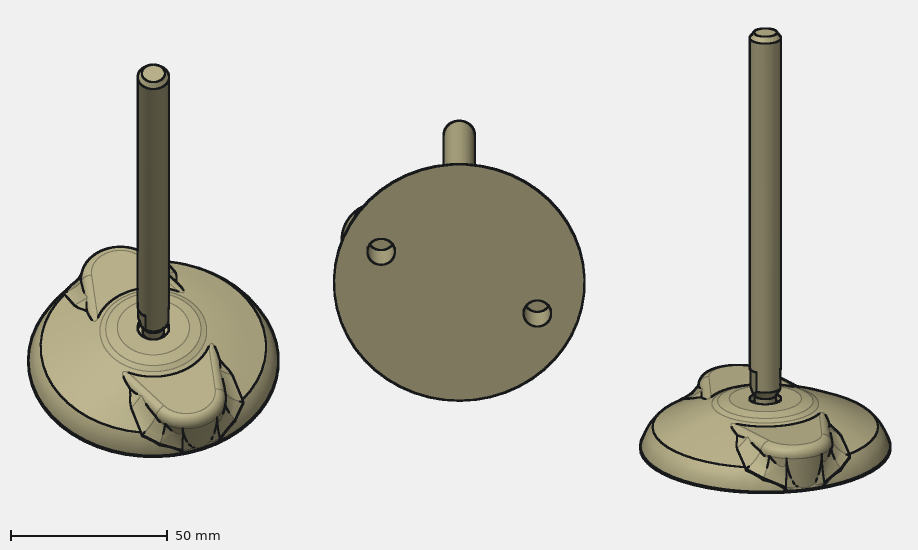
import cadquery as cq
import math

total_height = 142.2
base_radius = 40.03

lip_height = 0.4
lip_step = 0.21
shoulder_radius = 72.0 / 2
shoulder_height = 7.1
rim_mid_radius = 38.5
rim_mid_height = 3.7
dome_mid_radius = 26.5
dome_mid_height = 11.5

collar_radius = 17.0
collar_base_height = 15.1
collar_edge_radius = 15.2
collar_edge_height = 15.9
collar_top_radius = 11.5
collar_top_height = 16.8

lug_height = 14.5
lug_center_x = 27.0
lug_end_radius = 12.7
lug_flare_angle = 16.5
lug_edge_round = 3.4

flank_blend_reach = 18.3
flank_blend_foot_height = 6.8
flank_blend_sag = 1.0
inner_blend_setback = 8.5
inner_blend_reach = 15.8
inner_blend_foot_height = 10.5
inner_blend_sag = 0.1
corner_blend_angle = 55.0
corner_blend_reach = 15.9
corner_blend_foot_height = 4.5
corner_blend_sag = 0.4
nose_blend_angle = 28.0
nose_blend_reach = 13.8
nose_blend_foot_height = 1.7
nose_blend_sag = 0.3
flank_round_sweep = 45.0
wall_round_sweep = 90.0
blend_collar_point = (11.7, 14.8, 14.2)
blend_tip_scale = 0.02
blend_root_height = 0.9

mount_hole_radius = 4.4
mount_skin = 0.5

rod_radius = 10.1 / 2
neck_radius = 6.8 / 2
neck_depth = 8.5
clearance_bore_radius = rod_radius
clearance_bore_depth = 2.1
cone_bottom_height = 17.9
cone_top_height = 20.8
tip_radius = 3.7
tip_chamfer_height = 1.8
flat_top_height = 27.3
flat_width = 8.1


def make_dome():
    """Revolved foot: lip, rounded rim, dome and stepped collar."""
    return (
        cq.Workplane("XZ")
        .lineTo(base_radius, 0)
        .lineTo(base_radius, lip_height)
        .lineTo(base_radius - lip_step, lip_height)
        .threePointArc((rim_mid_radius, rim_mid_height), (shoulder_radius, shoulder_height))
        .threePointArc((dome_mid_radius, dome_mid_height), (collar_radius, collar_base_height))
        .lineTo(collar_edge_radius, collar_edge_height)
        .lineTo(collar_top_radius, collar_top_height)
        .lineTo(0, collar_top_height)
        .close()
        .revolve(360, (0, 0, 0), (0, 1, 0))
    )


def make_lugs():
    """Two round-ended lugs, widening inward until they meet at the middle."""
    flare = math.radians(lug_flare_angle)
    tangent_x = lug_center_x + lug_end_radius * math.sin(flare)
    tangent_y = lug_end_radius * math.cos(flare)
    middle_y = tangent_y + tangent_x * math.tan(flare)
    end_x = lug_center_x + lug_end_radius
    return (
        cq.Workplane("XY")
        .moveTo(0, -middle_y)
        .lineTo(tangent_x, -tangent_y)
        .threePointArc((end_x, 0), (tangent_x, tangent_y))
        .lineTo(0, middle_y)
        .lineTo(-tangent_x, tangent_y)
        .threePointArc((-end_x, 0), (-tangent_x, -tangent_y))
        .close()
        .extrude(lug_height)
        .faces(">Z")
        .edges()
        .fillet(lug_edge_round)
    )


def blend_section(angle, reach, foot_height, sag, round_sweep, setback=0):
    """Upright profile across a lug wall: rounded edge, hollow slope and buried root."""
    turn = math.radians(angle)
    outward = cq.Vector(math.cos(turn), math.sin(turn), 0)
    inward_along_flank = cq.Vector(-math.sin(turn), math.cos(turn), 0)
    base = cq.Vector(lug_center_x, 0, 0) + inward_along_flank * setback

    def at(distance, height):
        return base + outward * distance + cq.Vector(0, 0, height)

    edge_distance = lug_end_radius - lug_edge_round
    round_height = lug_height - lug_edge_round

    def on_round(sweep):
        bend = math.radians(sweep)
        return (
            edge_distance + lug_edge_round * math.sin(bend),
            round_height + lug_edge_round * math.cos(bend),
        )

    top_distance, top_height = on_round(round_sweep)
    run = reach - top_distance
    drop = top_height - foot_height
    slope_length = math.hypot(run, drop)
    hollow_distance = top_distance + run / 2 - sag * drop / slope_length
    hollow_height = top_height - drop / 2 - sag * run / slope_length

    edge_start = at(edge_distance, lug_height)
    slope_top = at(top_distance, top_height)
    foot = at(reach, foot_height)
    outer_root = at(reach, blend_root_height)
    inner_root = at(edge_distance, blend_root_height)
    return cq.Wire.assembleEdges([
        cq.Edge.makeThreePointArc(edge_start, at(*on_round(round_sweep / 2)), slope_top),
        cq.Edge.makeThreePointArc(slope_top, at(hollow_distance, hollow_height), foot),
        cq.Edge.makeLine(foot, outer_root),
        cq.Edge.makeLine(outer_root, inner_root),
        cq.Edge.makeLine(inner_root, edge_start),
    ])


def shrink_toward(section, point):
    """Small copy of a section, drawn in almost to the given point."""
    tip = cq.Vector(*point)
    return section.translate(tip * -1).scale(blend_tip_scale).translate(tip)


def make_corner_blend():
    """Blend on the +X, +Y side, running out to a point at the collar and at the nose."""
    flank_angle = 90 - lug_flare_angle
    inner = blend_section(
        flank_angle, inner_blend_reach, inner_blend_foot_height, inner_blend_sag,
        flank_round_sweep, inner_blend_setback,
    )
    flank = blend_section(
        flank_angle, flank_blend_reach, flank_blend_foot_height, flank_blend_sag, flank_round_sweep,
    )
    corner = blend_section(
        corner_blend_angle, corner_blend_reach, corner_blend_foot_height, corner_blend_sag, wall_round_sweep,
    )
    nose = blend_section(
        nose_blend_angle, nose_blend_reach, nose_blend_foot_height, nose_blend_sag, wall_round_sweep,
    )
    nose_point = (lug_center_x + lug_end_radius, 0, lip_height)
    sections = [
        shrink_toward(inner, blend_collar_point), inner, flank, corner, nose, shrink_toward(nose, nose_point),
    ]
    blend = cq.Workplane("XY")
    for start, end in zip(sections, sections[1:]):
        blend = blend.add(cq.Solid.makeLoft([start, end], True))
    return blend.combine()


def make_spindle():
    """Round rod with a chamfered tip, two wrench flats, a conical shoulder and a neck."""
    rod = (
        cq.Workplane("XZ")
        .moveTo(0, collar_top_height - neck_depth)
        .lineTo(neck_radius, collar_top_height - neck_depth)
        .lineTo(neck_radius, cone_bottom_height)
        .lineTo(rod_radius, cone_top_height)
        .lineTo(rod_radius, total_height - tip_chamfer_height)
        .lineTo(tip_radius, total_height)
        .lineTo(0, total_height)
        .close()
        .revolve(360, (0, 0, 0), (0, 1, 0))
    )
    flat_length = flat_top_height - cone_bottom_height
    flat_depth = rod_radius - flat_width / 2
    for side in (-1, 1):
        cutter = cq.Workplane("XY").box(2 * rod_radius, flat_depth, flat_length)
        cutter_y = side * (flat_width + flat_depth) / 2
        rod = rod.cut(cutter.translate((0, cutter_y, cone_bottom_height + flat_length / 2)))
    return rod


def make_foot():
    """Dome with blended lugs, blind mounting holes underneath and a stepped socket for the neck."""
    foot = make_dome().union(make_lugs())
    blend = make_corner_blend()
    blend_pair = blend.union(blend.mirror("XZ"))
    for blends in (blend_pair, blend_pair.mirror("YZ")):
        foot = foot.union(blends)
    mount_holes = (
        cq.Workplane("XY")
        .pushPoints([(-lug_center_x, 0), (lug_center_x, 0)])
        .circle(mount_hole_radius)
        .extrude(lug_height - mount_skin)
    )
    socket = (
        cq.Workplane("XY")
        .workplane(offset=collar_top_height - neck_depth)
        .circle(neck_radius)
        .extrude(neck_depth)
    )
    clearance_bore = (
        cq.Workplane("XY")
        .workplane(offset=collar_top_height - clearance_bore_depth)
        .circle(clearance_bore_radius)
        .extrude(clearance_bore_depth)
    )
    return foot.cut(mount_holes).cut(socket).cut(clearance_bore)


foot = make_foot()
spindle = make_spindle()
result = cq.Compound.makeCompound([*foot.solids().vals(), *spindle.solids().vals()])